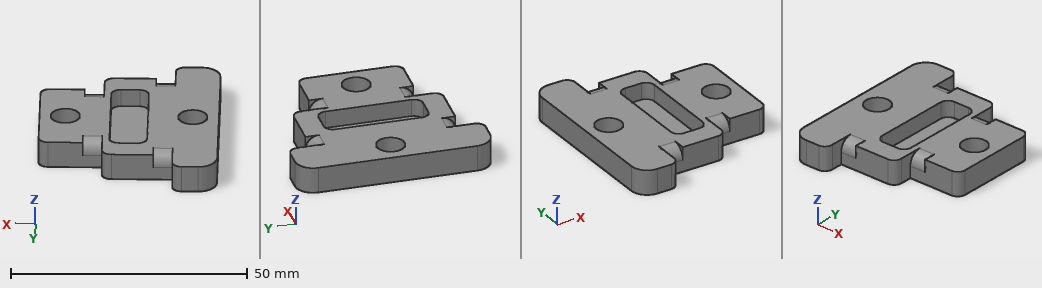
import cadquery as cq

thickness = 6.0
flange_end, flange_width = 9.5, 43.0
middle_end, middle_width = 24.5, 33.0
tongue_end, tongue_width = 38.0, 23.0

back_corner_radius = 4.0
step_corner_radius = 2.0

hole_diameter = 6.2
hole_positions = [5.5, 32.5]

pocket_start = 15.0
pocket_length = 8.0
pocket_width = tongue_width
pocket_depth = 4.0
pocket_corner_radius = 2.0

relief_radius = 3.0
relief_length = 4.1


def stepped_block(end, width):
    """Full-thickness block from the back edge to `end`, with rounded front corners."""
    return (
        cq.Workplane("XY")
        .box(end, width, thickness, centered=(False, True, False))
        .edges("|Z and >X")
        .fillet(step_corner_radius)
    )


def edge_relief(start, width):
    """Material outside the rounded top edge on the +Y side of a step."""
    side = width / 2
    inner = side - relief_radius
    bottom = thickness - relief_radius
    diagonal = relief_radius * 0.5**0.5
    return (
        cq.Workplane("YZ", origin=(start, 0, 0))
        .moveTo(inner, thickness)
        .threePointArc((inner + diagonal, bottom + diagonal), (side, bottom))
        .lineTo(side, thickness)
        .close()
        .extrude(relief_length)
    )


flange = stepped_block(flange_end, flange_width).edges("|Z and <X").fillet(back_corner_radius)
plate = flange.union(stepped_block(middle_end, middle_width))
plate = plate.union(stepped_block(tongue_end, tongue_width))

for step_start, step_width in [(flange_end, middle_width), (middle_end, tongue_width)]:
    relief = edge_relief(step_start, step_width)
    plate = plate.cut(relief).cut(relief.mirror("XZ"))

pocket = (
    cq.Workplane("XY", origin=(pocket_start, 0, thickness - pocket_depth))
    .box(pocket_length, pocket_width, pocket_depth, centered=(False, True, False))
    .edges("|Z")
    .fillet(pocket_corner_radius)
)
plate = plate.cut(pocket)

holes = (
    cq.Workplane("XY")
    .pushPoints([(x, 0) for x in hole_positions])
    .circle(hole_diameter / 2)
    .extrude(thickness)
)
result = plate.cut(holes)